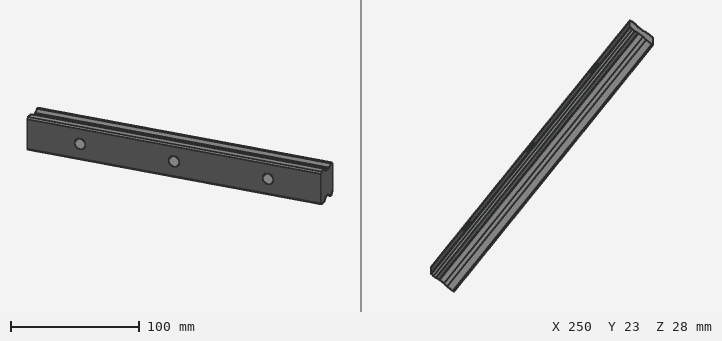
import cadquery as cq

RAIL_LENGTH = 250.0
RAIL_HEIGHT = 23.0
RAIL_WIDTH = 28.0
HALF_WIDTH = RAIL_WIDTH / 2

BASE_CHAMFER = 1.4
BASE_FLANK_END_Y = 7.0

CHANNEL_DEPTH = 3.0
CHANNEL_START_Y = BASE_FLANK_END_Y + CHANNEL_DEPTH
CHANNEL_END_Y = 14.4

LOWER_GROOVE_START_Y = 15.2
LOWER_GROOVE_DEPTH = 2.2
LOWER_GROOVE_MID_Y = 17.1
LOWER_GROOVE_MID_DEPTH = 1.7

RIB_START_Y = 18.2
RIB_END_Y = 20.55
TOP_LIP_Y = 22.4
TOP_LIP_DEPTH = 2.3

HOLE_DIAMETER = 9.0
HOLE_PITCH = 80.0
HOLE_COUNT = 3


def make_half_rail():
    """Extrude the +Z half of the cross-section along the full rail length."""
    profile = (
        cq.Workplane("YZ", origin=(-RAIL_LENGTH / 2, 0, 0))
        .moveTo(0, 0)
        .lineTo(0, HALF_WIDTH - BASE_CHAMFER)
        .lineTo(BASE_CHAMFER, HALF_WIDTH)
        .lineTo(BASE_FLANK_END_Y, HALF_WIDTH)
        .lineTo(CHANNEL_START_Y, HALF_WIDTH - CHANNEL_DEPTH)
        .lineTo(CHANNEL_END_Y, HALF_WIDTH - CHANNEL_DEPTH)
        .lineTo(LOWER_GROOVE_START_Y, HALF_WIDTH - LOWER_GROOVE_DEPTH)
        .threePointArc(
            (LOWER_GROOVE_MID_Y, HALF_WIDTH - LOWER_GROOVE_MID_DEPTH),
            (RIB_START_Y, HALF_WIDTH),
        )
        .lineTo(RIB_END_Y, HALF_WIDTH)
        .lineTo(TOP_LIP_Y, HALF_WIDTH - TOP_LIP_DEPTH)
        .lineTo(RAIL_HEIGHT, HALF_WIDTH - TOP_LIP_DEPTH)
        .lineTo(RAIL_HEIGHT, 0)
        .close()
    )
    return profile.extrude(RAIL_LENGTH)


def make_mounting_holes():
    """Row of plain through-holes along Y, centred on the rail length."""
    return (
        cq.Workplane("XZ")
        .rarray(HOLE_PITCH, 1, HOLE_COUNT, 1)
        .circle(HOLE_DIAMETER / 2)
        .extrude(-RAIL_HEIGHT)
    )


half_rail = make_half_rail()
rail = half_rail.union(half_rail.mirror("XY")).clean()
result = rail.cut(make_mounting_holes())